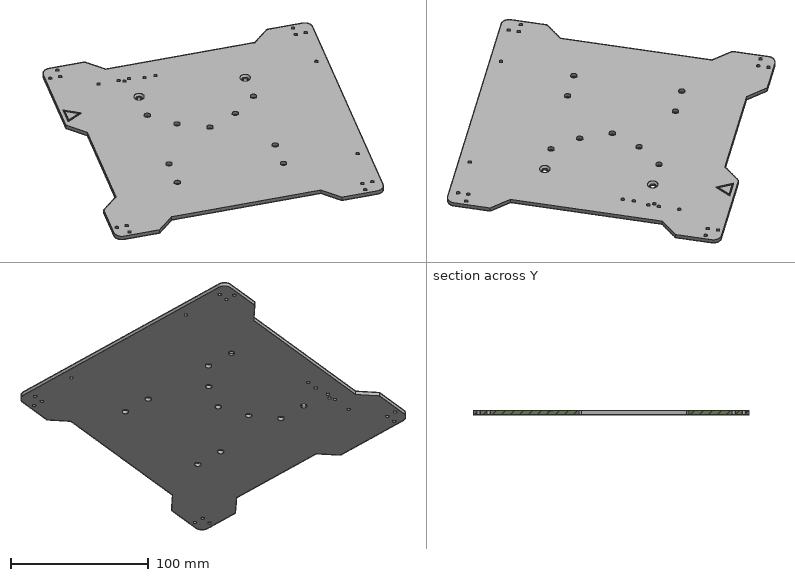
import cadquery as cq
import math

WIDTH = 200.0
LENGTH = 203.0
THICKNESS = 3.17
CORNER_RADIUS = 6.0

HALF_WIDTH = WIDTH / 2
BACK_Y = LENGTH / 2
FRONT_Y = -BACK_Y

SIDE_RECESS_DEPTH = 12.0
SIDE_RECESS_SLOPE = 12.5
TAB_LENGTH = 32.8
FRONT_RECESS_DEPTH = 12.7
FRONT_RECESS_SLOPE = 12.3
FRONT_RECESS_LEFT = -34.0
FRONT_RECESS_RIGHT = 67.0

PATTERN_Y = -1.5

SMALL_DIAMETER = 2.4
CORNER_HOLE_X = 88.8
CORNER_HOLE_Y = 88.8
CORNER_HOLE_PITCH = 7.5
BACK_HOLE_HALF_SPACING = 55.0
BACK_HOLE_INSET = 8.2
SIDE_COLUMNS = {
    -71.0: (-23.5, -31.7, -46.9),
    -73.0: (-42.9, -50.7, -65.8),
}

LARGE_DIAMETER = 4.5
OUTER_COLUMN_X = 51.0
INNER_COLUMN_X = 29.0
ROW_HALF_SPACING = 40.0
CENTRE_HOLE_X = -3.5
PAIR_X = -13.6
PAIR_HALF_SPACING = 22.0

COUNTERSINK_DIAMETER = 7.5
COUNTERSINK_ANGLE = 90.0

TRIANGLE_X = -44.4
TRIANGLE_BASE_Y = -98.7
TRIANGLE_SIDE = 13.5
GROOVE_WIDTH = 0.8
GROOVE_DEPTH = 0.3


def plate():
    """Flat plate with four corner tabs; only the outermost corners are rounded."""
    outer_y = BACK_Y - TAB_LENGTH
    inner_y = outer_y - SIDE_RECESS_SLOPE
    waist_x = HALF_WIDTH - SIDE_RECESS_DEPTH
    recess_y = FRONT_Y + FRONT_RECESS_DEPTH
    outline = [
        (-HALF_WIDTH, FRONT_Y),
        (FRONT_RECESS_LEFT, FRONT_Y),
        (FRONT_RECESS_LEFT + FRONT_RECESS_SLOPE, recess_y),
        (FRONT_RECESS_RIGHT - FRONT_RECESS_SLOPE, recess_y),
        (FRONT_RECESS_RIGHT, FRONT_Y),
        (HALF_WIDTH, FRONT_Y),
        (HALF_WIDTH, -outer_y),
        (waist_x, -inner_y),
        (waist_x, inner_y),
        (HALF_WIDTH, outer_y),
        (HALF_WIDTH, BACK_Y),
        (-HALF_WIDTH, BACK_Y),
        (-HALF_WIDTH, outer_y),
        (-waist_x, inner_y),
        (-waist_x, -inner_y),
        (-HALF_WIDTH, -outer_y),
    ]
    body = cq.Workplane("XY").polyline(outline).close().extrude(THICKNESS)
    for x in (-HALF_WIDTH, HALF_WIDTH):
        for y in (FRONT_Y, BACK_Y):
            corner = cq.selectors.NearestToPointSelector((x, y, THICKNESS / 2))
            body = body.edges("|Z").edges(corner).fillet(CORNER_RADIUS)
    return body


def cylinders(points, diameter):
    """Cutting cylinders through the whole plate."""
    return cq.Workplane("XY").pushPoints(points).circle(diameter / 2).extrude(THICKNESS)


def corner_hole_points():
    """Three holes in an L at each corner tab."""
    points = []
    for side in (-1, 1):
        for end in (-1, 1):
            x = side * CORNER_HOLE_X
            y = PATTERN_Y + end * CORNER_HOLE_Y
            points.append((x, y))
            points.append((x + side * CORNER_HOLE_PITCH, y))
            points.append((x, y + end * CORNER_HOLE_PITCH))
    return points


def back_hole_points():
    y = BACK_Y - BACK_HOLE_INSET
    return [(side * BACK_HOLE_HALF_SPACING, y) for side in (-1, 1)]


def side_hole_points():
    return [(x, y) for x, column in SIDE_COLUMNS.items() for y in column]


def row_points(columns):
    """One hole in each of the two rows at every given column."""
    rows = (PATTERN_Y - ROW_HALF_SPACING, PATTERN_Y + ROW_HALF_SPACING)
    return [(x, y) for x in columns for y in rows]


def centre_hole_points():
    return [
        (CENTRE_HOLE_X, PATTERN_Y),
        (PAIR_X, PATTERN_Y - PAIR_HALF_SPACING),
        (PAIR_X, PATTERN_Y + PAIR_HALF_SPACING),
    ]


def countersinks(points):
    """Cones, cut from the top face, that narrow down to the large screw holes."""
    mouth_radius = COUNTERSINK_DIAMETER / 2
    hole_radius = LARGE_DIAMETER / 2
    depth = (mouth_radius - hole_radius) / math.tan(math.radians(COUNTERSINK_ANGLE / 2))
    cone = cq.Solid.makeCone(hole_radius, mouth_radius, depth)
    bottom = cq.Workplane("XY").workplane(offset=THICKNESS - depth)
    return bottom.pushPoints(points).eachpoint(lambda place: cone.moved(place))


def triangle(side):
    """Equilateral triangular prism of the groove depth, sunk in the top face."""
    centre_y = TRIANGLE_BASE_Y + TRIANGLE_SIDE / (2 * math.sqrt(3))
    low_y = centre_y - side / (2 * math.sqrt(3))
    high_y = centre_y + side / math.sqrt(3)
    corners = [
        (TRIANGLE_X - side / 2, low_y),
        (TRIANGLE_X + side / 2, low_y),
        (TRIANGLE_X, high_y),
    ]
    plane = cq.Workplane("XY").workplane(offset=THICKNESS)
    return plane.polyline(corners).close().extrude(-GROOVE_DEPTH)


def triangle_groove():
    """Groove of even width between two concentric triangles."""
    inner_side = TRIANGLE_SIDE - 2 * math.sqrt(3) * GROOVE_WIDTH
    return triangle(TRIANGLE_SIDE).cut(triangle(inner_side))


small_points = corner_hole_points() + back_hole_points() + side_hole_points()
columns = (-OUTER_COLUMN_X, -INNER_COLUMN_X, INNER_COLUMN_X, OUTER_COLUMN_X)
large_points = row_points(columns) + centre_hole_points()
countersink_points = row_points([-OUTER_COLUMN_X])

result = plate()
result = result.cut(cylinders(small_points, SMALL_DIAMETER))
result = result.cut(cylinders(large_points, LARGE_DIAMETER))
result = result.cut(countersinks(countersink_points))
result = result.cut(triangle_groove())